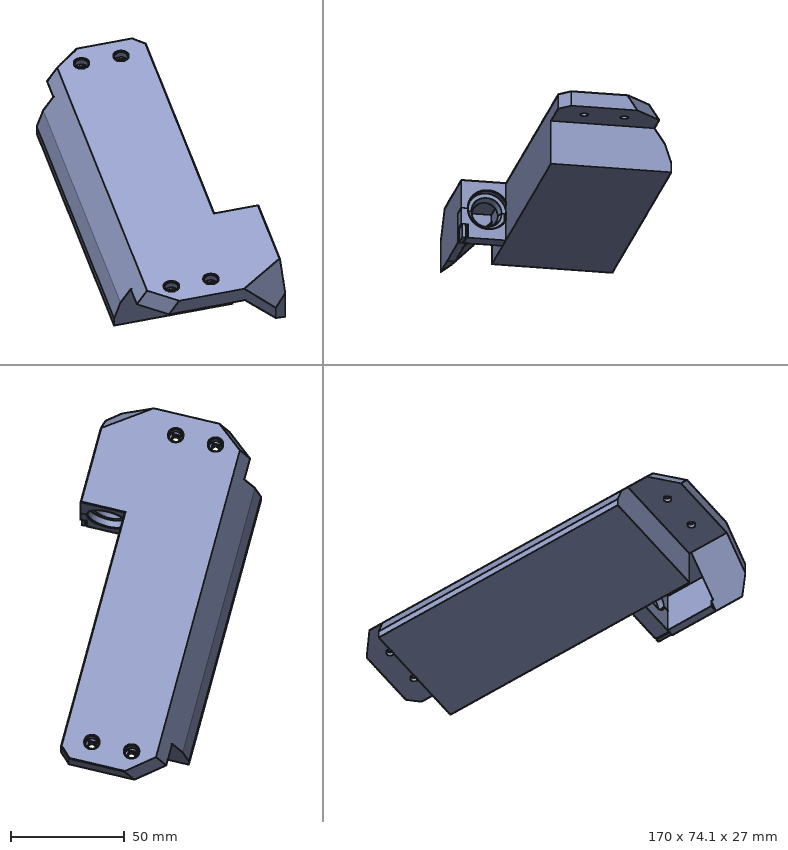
import cadquery as cq

LENGTH = 170.0
DEPTH = 74.1
HEIGHT = 27.0

PLATE_BOTTOM = 20.0
PLATE_BACK = 54.0
PLATE_TOP_FRONT = 12.2
CORNER_LENGTH = 10.0
CORNER_DEPTH = 11.9
BACK_CORNER = 5.0
EDGE_BREAK = 0.3

BOX_LEFT = 20.5
BOX_RIGHT = 149.8
KNEE_Y = 2.9
KNEE_Z = 13.1
LIP_HEIGHT = 4.2

BLOCK_LEFT = 119.0
BLOCK_CORNER = 6.0
WALL = 3.5
POCKET_RIGHT = 150.8
FACET_LEFT = 155.0
FACET_FRONT = 53.7
FACET_LOW_Z = 12.0

ENTRY_Y = 62.0
ENTRY_Z = 13.8
ENTRY_RECESS_RADIUS = 8.8
ENTRY_RIM_CHAMFER = 0.3
ENTRY_MOUTH_RADIUS = 6.8
ENTRY_RADIUS = 5.8
ENTRY_RECESS_DEPTH = WALL
ENTRY_TAPER = WALL

NOTCH_WALL_Y = 71.5
NOTCH_LEAD_IN = 0.5
NOTCH_HEIGHT = 6.3
LATCH_FRONT = 72.0
LATCH_BACK = 73.6

SCREW_EDGE_GAP = 10.0
SCREW_ROWS_Y = (23.3, 41.3)
SCREW_DIAMETER = 3.4
HEAD_DIAMETER = 6.0
HEAD_MOUTH_DIAMETER = 7.0
HEAD_DEPTH = 3.4
HEAD_MOUTH_DEPTH = (HEAD_MOUTH_DIAMETER - HEAD_DIAMETER) / 2
BRIDGE_STEP = 0.5

FRONT_SLOPE = (PLATE_TOP_FRONT - KNEE_Y) / (HEIGHT - KNEE_Z)
PLATE_LOW_FRONT = PLATE_TOP_FRONT - FRONT_SLOPE * (HEIGHT - PLATE_BOTTOM)
BLOCK_DEPTH = DEPTH - PLATE_BACK
ENTRY_END = BLOCK_LEFT + ENTRY_RECESS_DEPTH + ENTRY_TAPER


def box(x_range, y_range, z_range):
    """Box between two values on each axis."""
    (x0, x1), (y0, y1), (z0, z1) = x_range, y_range, z_range
    return cq.Workplane("XY").box(x1 - x0, y1 - y0, z1 - z0, centered=False).translate((x0, y0, z0))


def plate_outline(front):
    return [
        (CORNER_LENGTH, front),
        (LENGTH - CORNER_LENGTH, front),
        (LENGTH, front + CORNER_DEPTH),
        (LENGTH, PLATE_BACK),
        (BACK_CORNER, PLATE_BACK),
        (0, PLATE_BACK - BACK_CORNER),
        (0, front + CORNER_DEPTH),
    ]


def make_plate():
    return (
        cq.Workplane("XY", origin=(0, 0, PLATE_BOTTOM))
        .polyline(plate_outline(PLATE_LOW_FRONT)).close()
        .workplane(offset=HEIGHT - PLATE_BOTTOM)
        .polyline(plate_outline(PLATE_TOP_FRONT)).close()
        .loft(ruled=True)
    )


def make_box():
    profile = [
        (0, 0),
        (PLATE_BACK, 0),
        (PLATE_BACK, PLATE_BOTTOM),
        (PLATE_LOW_FRONT, PLATE_BOTTOM),
        (KNEE_Y, KNEE_Z),
        (0, LIP_HEIGHT),
    ]
    return (
        cq.Workplane("YZ", origin=(BOX_LEFT, 0, 0))
        .polyline(profile).close()
        .extrude(BOX_RIGHT - BOX_LEFT)
    )


def make_block():
    """Cable block with a cut back corner; right of the box its underside slopes at 45 degrees."""
    block = (
        box((BLOCK_LEFT, LENGTH), (PLATE_BACK, DEPTH), (0, HEIGHT))
        .edges("|Z and >X and >Y").chamfer(BLOCK_CORNER)
    )
    underside = (
        cq.Workplane("YZ", origin=(BOX_RIGHT, 0, 0))
        .polyline([(PLATE_BACK, 0), (DEPTH, 0), (PLATE_BACK, BLOCK_DEPTH)]).close()
        .extrude(LENGTH - BOX_RIGHT)
    )
    return block.cut(underside)


def break_top_edges(body):
    """Chamfer the top edges along the back and the left end, but not the sloping front."""
    reach = 1.7
    back_and_left = cq.selectors.BoxSelector(
        (-reach, PLATE_TOP_FRONT + CORNER_DEPTH, HEIGHT - EDGE_BREAK),
        (LENGTH - BLOCK_CORNER, DEPTH + reach, HEIGHT + EDGE_BREAK),
    )
    return body.faces(">Z").edges(back_and_left).chamfer(EDGE_BREAK)


def cut_facet(body):
    """Cut the right back corner with a plane through two top edge points and one lower point."""
    back_point = cq.Vector(FACET_LEFT, DEPTH, HEIGHT)
    right_point = cq.Vector(LENGTH, FACET_FRONT, HEIGHT)
    low_point = cq.Vector(LENGTH, DEPTH - BLOCK_CORNER, FACET_LOW_Z)
    along = right_point - back_point
    outward = (low_point - back_point).cross(along)
    if outward.z < 0:
        outward = outward * -1
    facet = cq.Plane(origin=back_point, xDir=along, normal=outward)
    waste = cq.Workplane(facet).rect(LENGTH, LENGTH).extrude(HEIGHT)
    return body.cut(waste)


def make_entry():
    """Round cutter on an axis along X: recess with a chamfered rim, then a narrowing cone."""
    recess_end = BLOCK_LEFT + ENTRY_RECESS_DEPTH
    return (
        cq.Workplane("XY", origin=(0, ENTRY_Y, ENTRY_Z))
        .polyline([
            (BLOCK_LEFT, 0),
            (BLOCK_LEFT, ENTRY_RECESS_RADIUS + ENTRY_RIM_CHAMFER),
            (BLOCK_LEFT + ENTRY_RIM_CHAMFER, ENTRY_RECESS_RADIUS),
            (recess_end, ENTRY_RECESS_RADIUS),
            (recess_end, ENTRY_MOUTH_RADIUS),
            (ENTRY_END, ENTRY_RADIUS),
            (ENTRY_END, 0),
        ]).close()
        .revolve(360, (0, 0, 0), (1, 0, 0))
    )


def make_clamp_space():
    return box((BLOCK_LEFT, ENTRY_END), (PLATE_BACK, DEPTH), (0, ENTRY_Z))


def make_cable_pocket():
    """Pocket behind the cable entry, open at the bottom."""
    return box((ENTRY_END, POCKET_RIGHT), (PLATE_BACK, DEPTH - WALL), (0, HEIGHT - WALL))


def make_screw_hole():
    """Cutter for one screw: head recess with two stepped layers below it, around the origin."""
    head = cq.Workplane("XY", origin=(0, 0, -HEAD_DEPTH)).circle(HEAD_DIAMETER / 2).extrude(HEAD_DEPTH)
    mouth = (
        cq.Workplane("XY", origin=(0, 0, -HEAD_MOUTH_DEPTH))
        .circle(HEAD_DIAMETER / 2)
        .workplane(offset=HEAD_MOUTH_DEPTH)
        .circle(HEAD_MOUTH_DIAMETER / 2)
        .loft()
    )
    slot = (
        cq.Workplane("XY", origin=(0, 0, -HEAD_DEPTH - BRIDGE_STEP))
        .circle(HEAD_DIAMETER / 2).extrude(BRIDGE_STEP)
        .intersect(cq.Workplane("XY").box(SCREW_DIAMETER, HEAD_DIAMETER, HEIGHT))
    )
    square = (
        cq.Workplane("XY", origin=(0, 0, -HEAD_DEPTH - 2 * BRIDGE_STEP))
        .rect(SCREW_DIAMETER, SCREW_DIAMETER).extrude(BRIDGE_STEP)
    )
    shank = cq.Workplane("XY").circle(SCREW_DIAMETER / 2).extrude(PLATE_BOTTOM - HEIGHT)
    return head.union(mouth).union(slot).union(square).union(shank)


def make_housing():
    housing = make_plate().union(make_box()).union(make_block())
    housing = cut_facet(break_top_edges(housing))
    housing = housing.cut(make_clamp_space()).cut(make_entry()).cut(make_cable_pocket())
    screw_hole = make_screw_hole()
    for x in (SCREW_EDGE_GAP, LENGTH - SCREW_EDGE_GAP):
        for y in SCREW_ROWS_Y:
            housing = housing.cut(screw_hole.translate((x, y, HEIGHT)))
    return housing


def make_clamp():
    """Lower half of the cable entry, with a notch whose mouth is widened by a lead-in."""
    notch = (
        cq.Workplane("XY")
        .polyline([
            (BLOCK_LEFT, NOTCH_WALL_Y - NOTCH_LEAD_IN),
            (BLOCK_LEFT + NOTCH_LEAD_IN, NOTCH_WALL_Y),
            (ENTRY_END, NOTCH_WALL_Y),
            (ENTRY_END, DEPTH),
            (BLOCK_LEFT, DEPTH),
        ]).close()
        .extrude(NOTCH_HEIGHT)
    )
    return make_clamp_space().cut(make_entry()).cut(notch)


def make_latch():
    return box((BLOCK_LEFT, ENTRY_END), (LATCH_FRONT, LATCH_BACK), (0, NOTCH_HEIGHT))


housing = make_housing()
clamp = make_clamp()
latch = make_latch()

result = cq.Compound.makeCompound([
    housing.solids().val(),
    clamp.solids().val(),
    latch.val(),
])